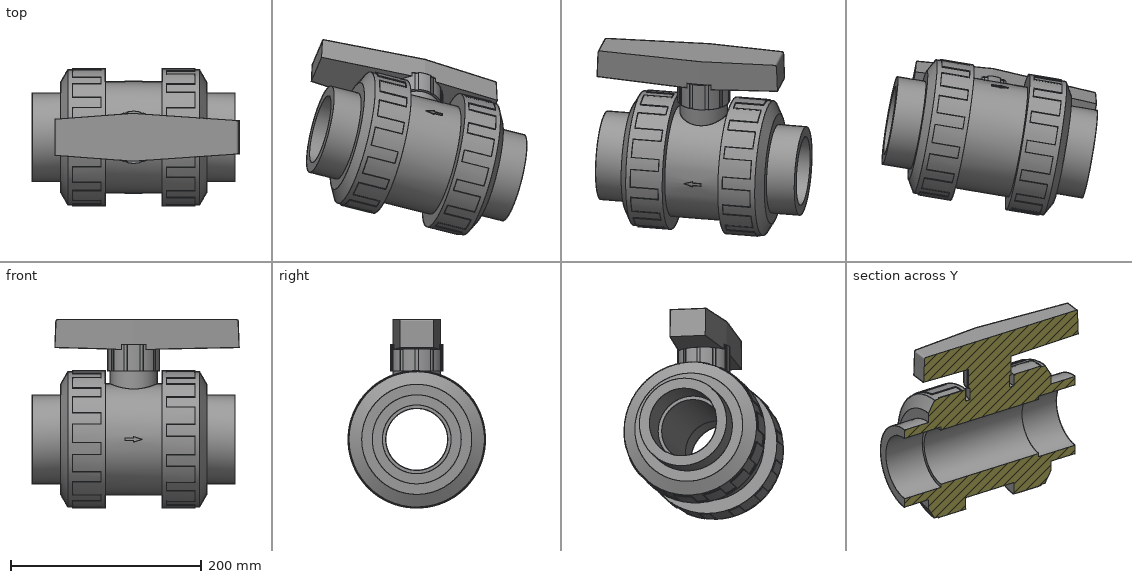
import cadquery as cq


pipe_length = 213.2
pipe_radius = 46.8
bore_radius = 32.5
socket_radius = 36.0
socket_depth = 45.5

body_radius = 58.5

nut_inner_x = 29.8
tooth_inner_x = 34.4
tooth_outer_x = 64.2
cone_start_x = 69.2
nut_outer_x = 76.8
nut_radius = 72.2
nut_root_radius = 71.1
nut_face_radius = 57.9
tooth_count = 14
tooth_angle = 15.6
tooth_phase = 5.2

arrow_length = 17.8
arrow_head_width = 5.7
arrow_shaft_width = 2.8
arrow_height = 0.7

neck_radius = 25.0
collar_radius = 27.5
collar_bottom_z = 72.0
collar_top_z = 99.8
groove_count = 10
groove_width = 3.5
groove_depth = 0.7

handle_top_z = 126.0
handle_middle_bottom_z = 94.2
handle_end_bottom_z = 96.4
handle_left_x = -82.9
handle_right_x = 111.0
handle_end_draft = 1.0
handle_middle_width = 50.2
handle_peak_x = -1.0
handle_left_width = 37.8
handle_right_width = 34.8
handle_end_fillet = 2.2


def x_cylinder(radius, x_start, x_end):
    """Solid cylinder on the flow axis."""
    return cq.Workplane("YZ", origin=(x_start, 0, 0)).circle(radius).extrude(x_end - x_start)


def make_nut():
    """Nut on the -X side, with raised grip teeth standing against a plain rim."""
    profile = [
        (-nut_outer_x, 0),
        (-nut_outer_x, nut_face_radius),
        (-cone_start_x, nut_root_radius),
        (-tooth_inner_x, nut_root_radius),
        (-tooth_inner_x, nut_radius),
        (-nut_inner_x, nut_radius),
        (-nut_inner_x, 0),
    ]
    nut = cq.Workplane("XY").polyline(profile).close().revolve(360, (0, 0, 0), (1, 0, 0))

    pitch = 360 / tooth_count
    tooth = (
        cq.Workplane("XY")
        .moveTo(-tooth_outer_x, -nut_radius)
        .lineTo(-tooth_inner_x, -nut_radius)
        .lineTo(-tooth_inner_x, -nut_face_radius)
        .lineTo(-tooth_outer_x, -nut_face_radius)
        .close()
        .revolve(tooth_angle, (0, 0, 0), (1, 0, 0))
        .rotate((0, 0, 0), (1, 0, 0), -tooth_angle / 2)
    )
    for i in range(tooth_count):
        nut = nut.union(tooth.rotate((0, 0, 0), (1, 0, 0), -tooth_phase - i * pitch))
    return nut


def make_arrow():
    """Raised arrow pointing along +X on the -Y flank of the body."""
    tip_x = arrow_length / 2
    upper_edge = [
        (-tip_x, arrow_shaft_width / 2),
        (0, arrow_shaft_width / 2),
        (0, arrow_head_width / 2),
        (tip_x, 0),
    ]
    lower_edge = [(x, -z) for x, z in reversed(upper_edge[:-1])]
    outline = cq.Workplane("XZ").polyline(upper_edge + lower_edge).close()
    skin = x_cylinder(body_radius + arrow_height, -tip_x, tip_x)
    return outline.extrude(2 * body_radius).intersect(skin)


def make_stem():
    """Neck and grooved collar that carry the handle."""
    neck = cq.Workplane("XY").circle(neck_radius).extrude(collar_bottom_z)
    collar_height = collar_top_z - collar_bottom_z
    collar_base = cq.Workplane("XY", origin=(0, 0, collar_bottom_z))
    collar = collar_base.circle(collar_radius).extrude(collar_height)
    grooves = (
        collar_base.polarArray(collar_radius, 0, 360, groove_count)
        .rect(2 * groove_depth, groove_width)
        .extrude(collar_height)
    )
    return neck.union(collar.cut(grooves))


def make_handle():
    """Lever, widest and deepest over the stem, with slightly leaning ends."""
    side = (
        cq.Workplane("XZ")
        .polyline([
            (handle_left_x, handle_end_bottom_z),
            (handle_peak_x, handle_middle_bottom_z),
            (handle_right_x, handle_end_bottom_z),
            (handle_right_x - handle_end_draft, handle_top_z),
            (handle_left_x + handle_end_draft, handle_top_z),
        ])
        .close()
        .extrude(handle_middle_width / 2, both=True)
        .faces(">Z")
        .edges("|Y")
        .fillet(handle_end_fillet)
    )
    front_edge = [
        (handle_left_x, -handle_left_width / 2),
        (handle_peak_x, -handle_middle_width / 2),
        (handle_right_x, -handle_right_width / 2),
    ]
    back_edge = [(x, -y) for x, y in reversed(front_edge)]
    plan = cq.Workplane("XY").polyline(front_edge + back_edge).close().extrude(handle_top_z)
    return side.intersect(plan)


half_turn = ((0, 0, 0), (0, 0, 1), 180)
nut = make_nut()
arrow = make_arrow()

valve = x_cylinder(pipe_radius, -pipe_length / 2, pipe_length / 2)
valve = valve.union(x_cylinder(body_radius, -nut_inner_x, nut_inner_x))
valve = valve.union(nut).union(nut.rotate(*half_turn))
valve = valve.union(arrow).union(arrow.mirror("XZ"))
valve = valve.union(make_stem()).union(make_handle())

valve = valve.cut(x_cylinder(bore_radius, -pipe_length / 2, pipe_length / 2))
for end in (-1, 1):
    mouth_x = end * pipe_length / 2
    valve = valve.cut(x_cylinder(socket_radius, mouth_x, mouth_x - end * socket_depth))

result = valve